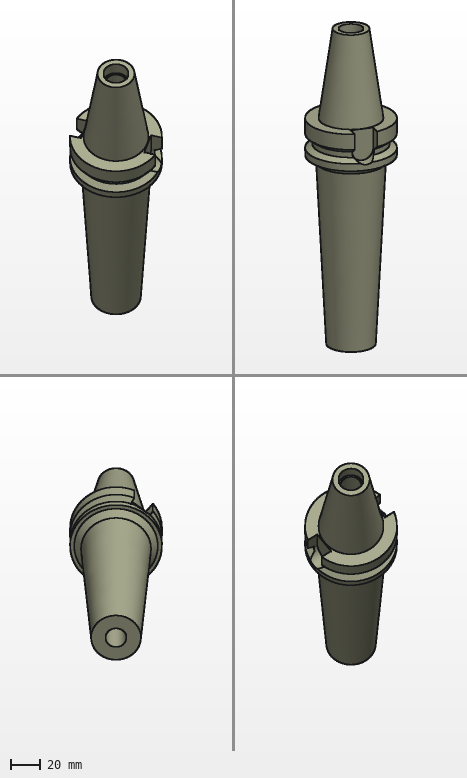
import cadquery as cq

total_length = 230.5
shank_length = 65.5
shank_top_radius = 12.7
shank_base_radius = 22.23

flange_radius = 31.45
flange_top = total_length - shank_length
upper_rim_bottom = total_length - 76.7
groove_top = total_length - 80.2
groove_bottom = total_length - 84.3
lower_rim_top = total_length - 87.0
flange_bottom = total_length - 92.5
groove_radius = 26.5

collar_top_radius = 28.5
collar_bottom = total_length - 97.2
nose_top_radius = 24.0
nose_end_radius = 17.0

slot_width = 16.1
slot_floor_distance = 22.5
slot_bottom = total_length - 88.2

bore_radius = 7.1
mouth_radius = 8.5
mouth_depth = 9.2


def make_body():
    """Revolve the outer half profile around Z."""
    profile = [
        (0, 0),
        (nose_end_radius, 0),
        (nose_top_radius, collar_bottom),
        (collar_top_radius, flange_bottom),
        (flange_radius, flange_bottom),
        (flange_radius, lower_rim_top),
        (groove_radius, groove_bottom),
        (groove_radius, groove_top),
        (flange_radius, upper_rim_bottom),
        (flange_radius, flange_top),
        (shank_base_radius, flange_top),
        (shank_top_radius, total_length),
        (0, total_length),
    ]
    return cq.Workplane("XZ").polyline(profile).close().revolve(360, (0, 0), (0, 1))


def make_drive_slot(side):
    """Round-bottomed slot open at the flange top; side is -1 or +1 along X."""
    half_width = slot_width / 2
    arc_center = slot_bottom + half_width
    slot_depth = flange_radius - slot_floor_distance
    return (
        cq.Workplane("YZ", origin=(side * slot_floor_distance, 0, 0))
        .moveTo(-half_width, flange_top)
        .lineTo(-half_width, arc_center)
        .threePointArc((0, slot_bottom), (half_width, arc_center))
        .lineTo(half_width, flange_top)
        .close()
        .extrude(side * slot_depth)
    )


def make_bore():
    """Through bore with a wider mouth at the shank end."""
    through = cq.Workplane("XY").circle(bore_radius).extrude(total_length)
    mouth = (
        cq.Workplane("XY", origin=(0, 0, total_length - mouth_depth))
        .circle(mouth_radius)
        .extrude(mouth_depth)
    )
    return through.union(mouth)


result = make_body().cut(make_bore())
for side in (-1, 1):
    result = result.cut(make_drive_slot(side))